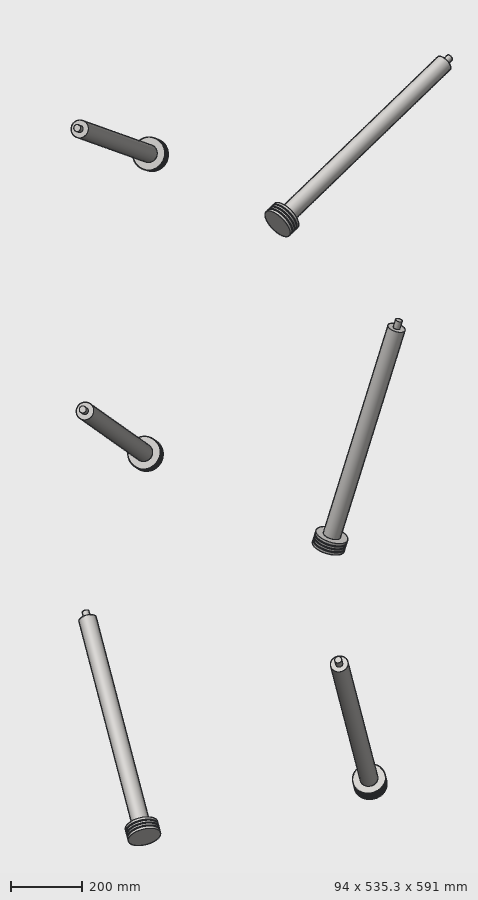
import cadquery as cq
import math

overall_height = 591.0
tilt_from_vertical = 41.7

head_diameter = 94.0
rod_diameter = 51.0
pin_diameter = 20.0

tilt = math.radians(tilt_from_vertical)
rim_height = (head_diameter + pin_diameter) / 2 * math.sin(tilt)
total_length = (overall_height - rim_height) / math.cos(tilt)
head_length = 38.0
pin_length = 25.0
rod_length = total_length - head_length - pin_length

groove_count = 3
groove_width = 3.5
groove_depth = groove_width / 2
groove_pitch = head_length / (groove_count + 1)


def cylinder(diameter, length, base_z):
    """Upright cylinder on the Z axis, starting at base_z."""
    return cq.Workplane("XY", origin=(0, 0, base_z)).circle(diameter / 2).extrude(length)


def ring_groove(center_z):
    """V-section ring to be removed from the rim of the head."""
    rim = head_diameter / 2
    return (
        cq.Workplane("XZ")
        .moveTo(rim, center_z - groove_width / 2)
        .lineTo(rim, center_z + groove_width / 2)
        .lineTo(rim - groove_depth, center_z)
        .close()
        .revolve(360, (0, 0, 0), (0, 1, 0))
    )


head = cylinder(head_diameter, head_length, 0)
for index in range(groove_count):
    head = head.cut(ring_groove((index + 1) * groove_pitch))

rod = cylinder(rod_diameter, rod_length, head_length)
pin = cylinder(pin_diameter, pin_length, head_length + rod_length)
upright = head.union(rod).union(pin)

result = upright.rotate((0, 0, 0), (1, 0, 0), tilt_from_vertical)